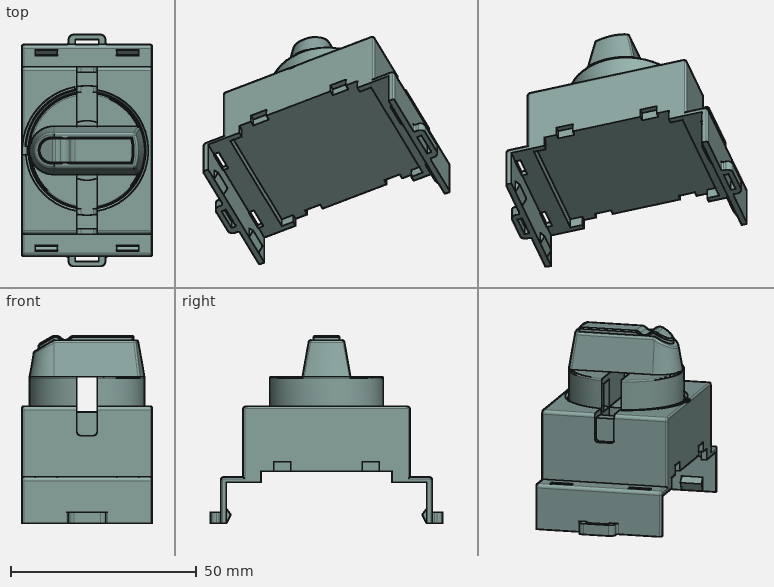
import cadquery as cq
import math

BODY_X = 35.0
BODY_Y = 45.0
BODY_TOP = 31.5
WALL = 1.5
END_ROUND = 1.0
SIDE_ROUND = 0.5

RAIL_WIDTH = 35.2
RAIL_SEAT_Z = 14.0
FOOT_Z = 11.0
NOTCH_Y = 11.85
NOTCH_WIDTH = 4.6
NOTCH_HEIGHT = 2.6

FLANGE_Y = 57.0
FLANGE_TOP = FOOT_Z + WALL
CLIP_WALL = 1.6
CLIP_INNER_Y = FLANGE_Y / 2 - CLIP_WALL
HOOK_REACH = 1.2
HOOK_TIP_Z = 2.3
HOOK_TOP_Z = 3.9
HOOK_WIDTH = 5.9
HOOK_X = 10.9
WINDOW_Y = 26.3
WINDOW_WIDTH = 1.6

LOOP_END_Y = 31.2
LOOP_WIDTH = 10.0
LOOP_HOLE_WIDTH = 6.2
LOOP_BAR = 1.4
LOOP_HEIGHT = 3.0
LOOP_ROUND = 1.5
LOOP_ROOT_ROUND = 0.5

SLOT_WIDTH = 5.4
SLOT_FLOOR = BODY_TOP - WALL
SLOT_BOTTOM = 23.6
SLOT_ROUND = 1.0
HUB_RADIUS = 8.0
SKIRT_OUTER = 17.4

SEAT_RADIUS = 15.8
SEAT_CHAMFER = 0.7
MARK_DEPTH = 0.4
POINTER_WIDTH = 2.2
POINTER_INNER_X = 16.1
ARC_INNER = 16.7
ARC_OUTER = 17.4
ARC_START = 101.0
ARC_END = 180.0

DISC_RADIUS = 15.5
DISC_TOP = 39.4
DISC_ROUND = 0.4
DISC_WALL = 1.75

HANDLE_TOP = 49.3
HANDLE_WIDTH = 13.0
HANDLE_DRAFT = 10.0
HANDLE_ROUND = 0.7
HANDLE_RIM_Z = 46.0
SLOPE_ANGLE = 30.0
SLOPE_X = -8.8

PAD_BASE = 45.0
PAD_TOP = 50.5
PAD_WIDTH = 7.1
PAD_NOSE_X = -9.5
PAD_END_X = 12.65
PAD_END_RADIUS = 12.5
PAD_CHAMFER = 0.4
PAD_RIDGE_ROUND = 1.7
PAD_SLOPE_X = -8.95
PAD_RIM_Z = 48.0
DIP_X = -5.9
DIP_FLOOR = 49.4
DIP_HALF = 2.6
DIP_SPLIT = 0.48


def box(x0, x1, y0, y1, z0, z1):
    return cq.Workplane("XY").box(x1 - x0, y1 - y0, z1 - z0, centered=False).translate((x0, y0, z0))


def disc(radius, z0, z1):
    return cq.Workplane("XY").workplane(offset=z0).circle(radius).extrude(z1 - z0)


def both_ends(shape):
    """A feature on the -Y end joined with its mirror image on the +Y end."""
    return shape.union(shape.mirror("XZ"))


def rounded_block(length_y, z0, z1):
    half_x = BODY_X / 2
    block = box(-half_x, half_x, -length_y / 2, length_y / 2, z0, z1)
    block = block.faces(">Z").edges("|X").fillet(END_ROUND)
    return block.faces("<X or >X").edges("not <Z").fillet(SIDE_ROUND)


def make_cover():
    half_x = BODY_X / 2
    inner_x = half_x - WALL
    half_rail = RAIL_WIDTH / 2
    cover = rounded_block(BODY_Y, FOOT_Z, BODY_TOP)
    cover = cover.cut(box(-half_x, half_x, -half_rail, half_rail, 0, RAIL_SEAT_Z))
    flange = rounded_block(FLANGE_Y, 0, FLANGE_TOP)
    flange = flange.cut(box(-half_x, half_x, -CLIP_INNER_Y, CLIP_INNER_Y, 0, FOOT_Z))
    flange = flange.cut(box(-half_x, half_x, -half_rail, half_rail, 0, RAIL_SEAT_Z))
    cover = cover.union(flange)
    pocket_y = BODY_Y / 2 - WALL
    cover = cover.cut(box(-inner_x, inner_x, -pocket_y, pocket_y, 0, RAIL_SEAT_Z))
    notch = box(-half_x, -inner_x, -NOTCH_WIDTH / 2, NOTCH_WIDTH / 2, RAIL_SEAT_Z, RAIL_SEAT_Z + NOTCH_HEIGHT)
    for y in (-NOTCH_Y, NOTCH_Y):
        side_notch = notch.translate((0, y, 0))
        cover = cover.cut(side_notch).cut(side_notch.mirror("YZ"))
    return cover


def make_hooks():
    hooks = (
        cq.Workplane("YZ")
        .polyline([
            (-CLIP_INNER_Y, 0),
            (-CLIP_INNER_Y + HOOK_REACH, HOOK_TIP_Z),
            (-CLIP_INNER_Y, HOOK_TOP_Z),
        ])
        .close()
        .extrude(HOOK_WIDTH / 2, both=True)
    )
    return both_ends(hooks.translate((-HOOK_X, 0, 0)).union(hooks.translate((HOOK_X, 0, 0))))


def make_windows():
    windows = (
        cq.Workplane("XY")
        .workplane(offset=FOOT_Z)
        .pushPoints([(-HOOK_X, -WINDOW_Y), (HOOK_X, -WINDOW_Y)])
        .rect(HOOK_WIDTH, WINDOW_WIDTH)
        .extrude(WALL)
    )
    return both_ends(windows)


def make_loops():
    half = LOOP_WIDTH / 2
    half_hole = LOOP_HOLE_WIDTH / 2
    wall_y = FLANGE_Y / 2
    loop = box(-half, half, -LOOP_END_Y, -wall_y, 0, LOOP_HEIGHT)
    loop = loop.faces("<Y").edges("|Z").fillet(LOOP_ROUND)
    root_y = -wall_y - LOOP_ROOT_ROUND
    root_x = half + LOOP_ROOT_ROUND
    hollows = (
        cq.Workplane("XY")
        .pushPoints([(-root_x, root_y), (root_x, root_y)])
        .circle(LOOP_ROOT_ROUND)
        .extrude(LOOP_HEIGHT)
    )
    loop = loop.union(box(-root_x, root_x, root_y, -wall_y, 0, LOOP_HEIGHT).cut(hollows))
    loop = loop.cut(box(-half_hole, half_hole, LOOP_BAR - LOOP_END_Y, -wall_y, 0, LOOP_HEIGHT))
    return both_ends(loop)


def slot_profile(y0, y1):
    """Slot with rounded bottom corners, between two Y positions."""
    slot = box(-SLOT_WIDTH / 2, SLOT_WIDTH / 2, y0, y1, SLOT_BOTTOM, BODY_TOP)
    return slot.faces("<Z").edges("|Y").fillet(SLOT_ROUND)


def cut_cross_slot(cover):
    half_x = SLOT_WIDTH / 2
    half_y = BODY_Y / 2
    cover = cover.cut(box(-half_x, half_x, -half_y, half_y, SLOT_FLOOR, BODY_TOP))
    cover = cover.cut(both_ends(slot_profile(-half_y, WALL - half_y)))
    hub = disc(HUB_RADIUS, SLOT_BOTTOM, BODY_TOP)
    skirt_gap = slot_profile(-half_y, half_y).intersect(disc(SKIRT_OUTER, SLOT_BOTTOM, BODY_TOP))
    seat_gap = box(-half_x, half_x, -half_y, half_y, SLOT_BOTTOM, BODY_TOP)
    seat_gap = seat_gap.intersect(disc(SEAT_RADIUS, SLOT_BOTTOM, BODY_TOP))
    return cover.cut(skirt_gap.union(seat_gap).cut(hub))


def cut_knob_seat(cover):
    seat = disc(SEAT_RADIUS, SLOT_FLOOR, BODY_TOP)
    mouth = (
        cq.Workplane("XY")
        .workplane(offset=BODY_TOP)
        .circle(SEAT_RADIUS + SEAT_CHAMFER)
        .extrude(-SEAT_CHAMFER, taper=45)
    )
    cover = cover.cut(seat).cut(mouth)
    mark_z = BODY_TOP - MARK_DEPTH
    half_pointer = POINTER_WIDTH / 2
    cover = cover.cut(box(-BODY_X / 2, -POINTER_INNER_X, -half_pointer, half_pointer, mark_z, BODY_TOP))
    return cover.cut(make_arc_mark(mark_z))


def polar(radius, degrees):
    angle = math.radians(degrees)
    return (radius * math.cos(angle), radius * math.sin(angle))


def make_arc_mark(floor_z):
    middle = (ARC_START + ARC_END) / 2
    return (
        cq.Workplane("XY")
        .workplane(offset=floor_z)
        .moveTo(*polar(ARC_INNER, ARC_START))
        .threePointArc(polar(ARC_INNER, middle), polar(ARC_INNER, ARC_END))
        .lineTo(*polar(ARC_OUTER, ARC_END))
        .threePointArc(polar(ARC_OUTER, middle), polar(ARC_OUTER, ARC_START))
        .close()
        .extrude(BODY_TOP - floor_z)
    )


def make_disc():
    knob = disc(DISC_RADIUS, SLOT_FLOOR, DISC_TOP).faces(">Z").edges().fillet(DISC_ROUND)
    hollow = disc(DISC_RADIUS - DISC_WALL, SLOT_FLOOR, DISC_TOP - DISC_WALL)
    knob = knob.cut(hollow.cut(disc(HUB_RADIUS, SLOT_FLOOR, DISC_TOP)))
    half_x = SLOT_WIDTH / 2
    return knob.cut(box(-half_x, half_x, -DISC_RADIUS, DISC_RADIUS, SLOT_FLOOR, DISC_TOP))


def below_slope(edge_x, edge_z):
    """Half-space prism under a flat top that slopes down towards -X from the given edge."""
    reach = 2 * DISC_RADIUS
    drop = (reach + edge_x) * math.tan(math.radians(SLOPE_ANGLE))
    return (
        cq.Workplane("XZ")
        .polyline([(-reach, 0), (-reach, edge_z - drop), (edge_x, edge_z), (reach, edge_z), (reach, 0)])
        .close()
        .extrude(HANDLE_WIDTH, both=True)
    )


def high_edges(z):
    """Selects the edges whose centre lies above z."""
    return cq.selectors.BoxSelector((-BODY_X, -BODY_X, z), (BODY_X, BODY_X, 2 * z))


def make_handle():
    half = HANDLE_WIDTH / 2
    nose_x = half - DISC_RADIUS
    corner_x = math.sqrt(DISC_RADIUS ** 2 - half ** 2)
    handle = (
        cq.Workplane("XY")
        .workplane(offset=DISC_TOP)
        .moveTo(nose_x, half)
        .threePointArc((-DISC_RADIUS, 0), (nose_x, -half))
        .lineTo(corner_x, -half)
        .threePointArc((DISC_RADIUS, 0), (corner_x, half))
        .close()
        .extrude(HANDLE_TOP - DISC_TOP, taper=HANDLE_DRAFT)
        .intersect(below_slope(SLOPE_X, HANDLE_TOP))
    )
    handle = handle.edges(high_edges(HANDLE_RIM_Z)).edges("not(|Y or >X)").fillet(HANDLE_ROUND)
    return handle.faces(">Z").edges(">X").fillet(HANDLE_ROUND)


def make_pad():
    half = PAD_WIDTH / 2
    corner_x = PAD_END_X - PAD_END_RADIUS + math.sqrt(PAD_END_RADIUS ** 2 - half ** 2)
    pad = (
        cq.Workplane("XY")
        .workplane(offset=PAD_BASE)
        .moveTo(PAD_NOSE_X, half)
        .threePointArc((PAD_NOSE_X - half, 0), (PAD_NOSE_X, -half))
        .lineTo(corner_x, -half)
        .threePointArc((PAD_END_X, 0), (corner_x, half))
        .close()
        .extrude(PAD_TOP - PAD_BASE)
        .intersect(below_slope(PAD_SLOPE_X, PAD_TOP))
    )
    pad = pad.faces(">Z").edges("<X").fillet(PAD_RIDGE_ROUND).cut(make_dip())
    return pad.edges(high_edges(PAD_RIM_Z)).edges("not |Y").chamfer(PAD_CHAMFER)


def make_dip():
    """Finger dip across the pad: a hollow arc blended into the top by two rounded shoulders."""
    depth = PAD_TOP - DIP_FLOOR
    radius_sum = (DIP_HALF ** 2 + depth ** 2) / (2 * depth)
    hollow_radius = DIP_SPLIT * radius_sum
    shoulder_radius = radius_sum - hollow_radius
    tangent_x = DIP_SPLIT * DIP_HALF
    tangent_z = DIP_FLOOR + DIP_SPLIT * depth
    half_angle = math.asin(DIP_HALF / radius_sum) / 2
    shoulder_x = DIP_HALF - shoulder_radius * math.sin(half_angle)
    shoulder_z = PAD_TOP - shoulder_radius * (1 - math.cos(half_angle))
    return (
        cq.Workplane("XZ")
        .moveTo(DIP_X - DIP_HALF, PAD_TOP)
        .threePointArc((DIP_X - shoulder_x, shoulder_z), (DIP_X - tangent_x, tangent_z))
        .threePointArc((DIP_X, DIP_FLOOR), (DIP_X + tangent_x, tangent_z))
        .threePointArc((DIP_X + shoulder_x, shoulder_z), (DIP_X + DIP_HALF, PAD_TOP))
        .close()
        .extrude(PAD_WIDTH, both=True)
    )


cover = make_cover().cut(make_windows()).union(make_hooks()).union(make_loops())
cover = cut_knob_seat(cut_cross_slot(cover))
result = cover.union(make_disc()).union(make_handle()).union(make_pad())